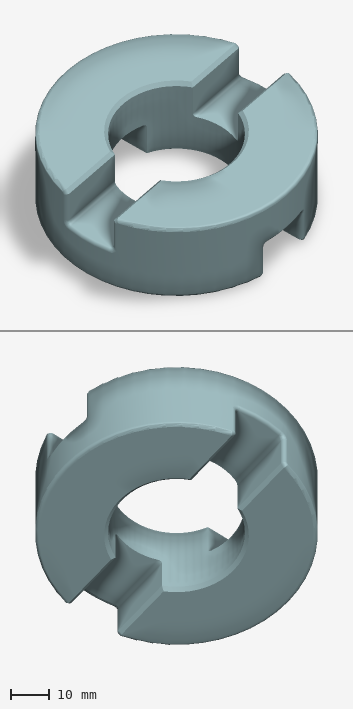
import cadquery as cq

outer_diameter = 72.9
height = 24.5
bore_diameter = 35.3
slot_width = 15.0
slot_depth = 11.45
edge_break = 1.0
slot_corner_radius = 1.0

ring = (
    cq.Workplane("XY", origin=(0, 0, -height / 2))
    .circle(outer_diameter / 2)
    .circle(bore_diameter / 2)
    .extrude(height)
)
bore_mouth_edges = cq.selectors.RadiusNthSelector(0)
ring = ring.edges("%CIRCLE").edges(bore_mouth_edges).chamfer(edge_break)


def top_slot_cutter():
    """Slot along Y through the top face, with rounded floor corners and chamfered lips."""
    top = height / 2
    floor = top - slot_depth
    channel = (
        cq.Workplane("XY", origin=(0, 0, floor))
        .rect(slot_width, outer_diameter * 2)
        .extrude(slot_depth)
        .edges("|Y and <Z")
        .fillet(slot_corner_radius)
    )
    half_width = slot_width / 2
    lips = (
        cq.Workplane("XZ")
        .moveTo(-half_width - edge_break, top)
        .lineTo(half_width + edge_break, top)
        .lineTo(half_width, top - edge_break)
        .lineTo(-half_width, top - edge_break)
        .close()
        .extrude(outer_diameter, both=True)
    )
    return channel.union(lips)


top_slot = top_slot_cutter()
bottom_slot = top_slot.rotate((0, 0, 0), (1, 0, 0), 180).rotate((0, 0, 0), (0, 0, 1), 90)
slotted_ring = ring.cut(top_slot).cut(bottom_slot)

outer_wall = slotted_ring.faces("%CYLINDER").faces(cq.selectors.AreaNthSelector(-1))
result = outer_wall.edges("not(|Z and >X)").fillet(edge_break)